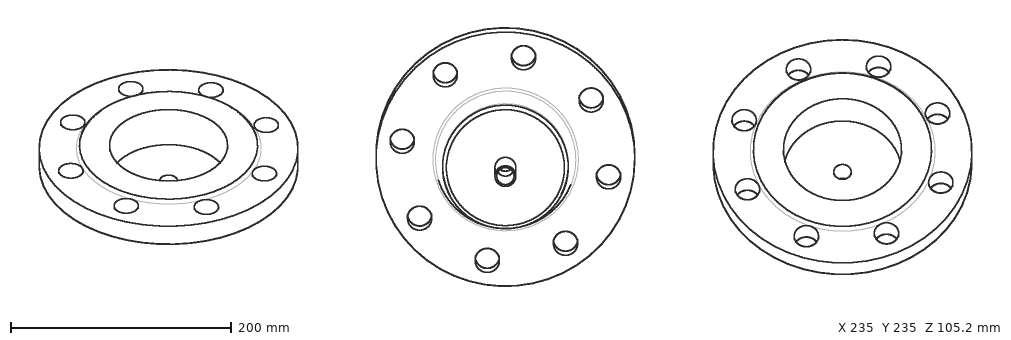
import cadquery as cq

flange_diameter = 235.0
flange_thickness = 20.7
bolt_count = 8
bolt_hole_diameter = 22.0
bolt_circle_diameter = 190.0

face_diameter = 161.7
face_height = 3.0

hub_diameter = 114.2
hub_cylinder_height = 11.8
hub_chamfer = 3.5
neck_height = 26.8
neck_top_diameter = 127.4
neck_bulge = 0.5
neck_fillet = 2.4

bore_diameter = 107.2
bore_depth = 40.0

tube_outer_diameter = 19.0
tube_inner_diameter = 15.7
tube_length = 40.5

hub_bottom = tube_length
neck_bottom = hub_bottom + hub_cylinder_height
flange_bottom = neck_bottom + neck_height + neck_fillet
flange_top = flange_bottom + flange_thickness
face_top = flange_top + face_height


def make_cylinder(diameter, bottom, top):
    return cq.Workplane("XY").workplane(offset=bottom).circle(diameter / 2).extrude(top - bottom)


def make_body_blank():
    """Revolve the outer outline of the hub, flange and raised face."""
    hub_radius = hub_diameter / 2
    neck_top_radius = neck_top_diameter / 2
    neck_top = flange_bottom - neck_fillet
    neck_middle = ((hub_radius + neck_top_radius) / 2 - neck_bulge, (neck_bottom + neck_top) / 2)
    flange_radius = flange_diameter / 2
    face_radius = face_diameter / 2
    fillet_rise = 1 - 0.5 ** 0.5
    face_fillet_middle = (
        face_radius + face_height * fillet_rise,
        flange_top + face_height * fillet_rise,
    )
    neck_fillet_middle = (
        neck_top_radius + neck_fillet * fillet_rise,
        flange_bottom - neck_fillet * fillet_rise,
    )
    return (
        cq.Workplane("XZ")
        .moveTo(0, hub_bottom)
        .lineTo(hub_radius - hub_chamfer, hub_bottom)
        .lineTo(hub_radius, hub_bottom + hub_chamfer)
        .lineTo(hub_radius, neck_bottom)
        .threePointArc(neck_middle, (neck_top_radius, neck_top))
        .threePointArc(neck_fillet_middle, (neck_top_radius + neck_fillet, flange_bottom))
        .lineTo(flange_radius, flange_bottom)
        .lineTo(flange_radius, flange_top)
        .lineTo(face_radius + face_height, flange_top)
        .threePointArc(face_fillet_middle, (face_radius, face_top))
        .lineTo(0, face_top)
        .close()
        .revolve(360, (0, 0, 0), (0, 1, 0))
    )


def make_bolt_holes():
    return (
        cq.Workplane("XY")
        .workplane(offset=flange_bottom)
        .polarArray(bolt_circle_diameter / 2, 0, 360, bolt_count)
        .circle(bolt_hole_diameter / 2)
        .extrude(face_top - flange_bottom)
    )


def make_flanged_body():
    bore = make_cylinder(bore_diameter, face_top - bore_depth, face_top)
    drain_hole = make_cylinder(tube_inner_diameter, hub_bottom, face_top)
    return make_body_blank().cut(make_bolt_holes()).cut(bore).cut(drain_hole)


def make_tube():
    outside = make_cylinder(tube_outer_diameter, 0, hub_bottom)
    inside = make_cylinder(tube_inner_diameter, 0, hub_bottom)
    return outside.cut(inside)


flanged_body = make_flanged_body()
tube = make_tube()

result = cq.Compound.makeCompound([flanged_body.val(), tube.val()])